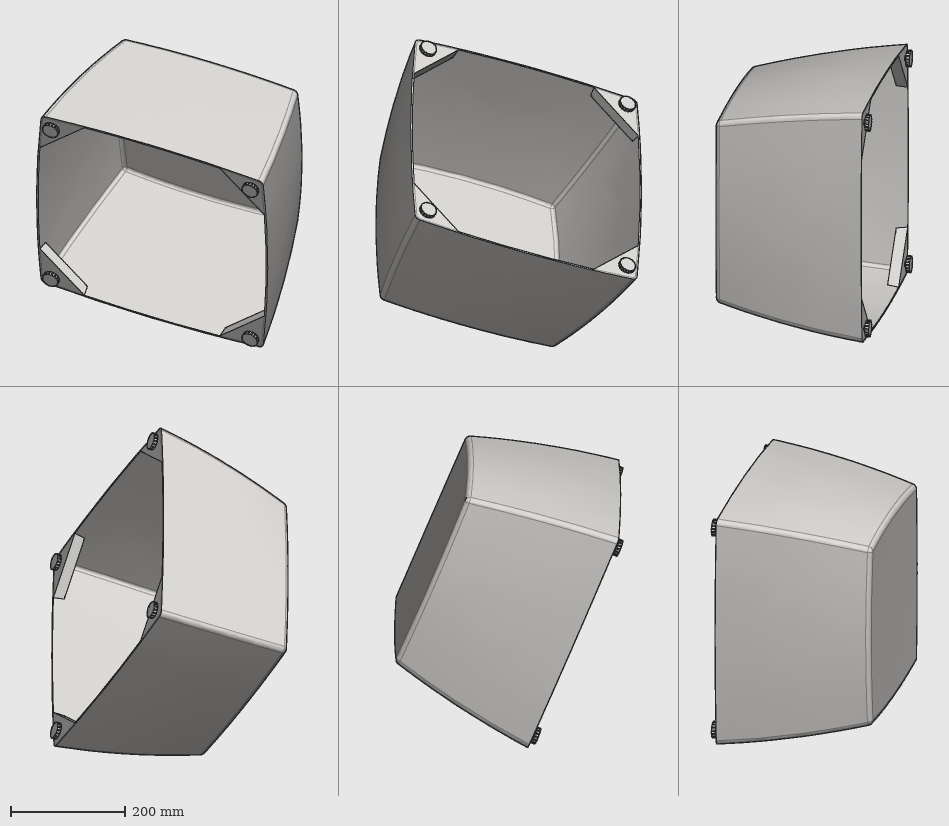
import cadquery as cq
import math

HALF_WIDTH_FRONT = 219.0
HALF_WIDTH_BACK = 174.0
DEPTH = 269.8
PROFILE_BULGE = 5.0
OUTLINE_BULGE = 9.0
BACK_DISH = 2.0
WALL = 3.0
OUTER_ROUND = 10.0
INNER_ROUND = OUTER_ROUND - WALL
SECTION_COUNT = 5

GUSSET_REACH = 340.7
GUSSET_THICKNESS = 20.0

KNOB_OFFSET = 188.8
KNOB_RADIUS = 15.0
KNOB_THICKNESS = 7.0
STEM_RADIUS = 5.05
STEM_LENGTH = 3.5
GROOVE_COUNT = 16
GROOVE_RADIUS = 2.5
GROOVE_DEPTH = 1.0

FRONT_Y = STEM_LENGTH + KNOB_THICKNESS - (DEPTH + STEM_LENGTH + KNOB_THICKNESS) / 2
BACK_Y = FRONT_Y + DEPTH
BACK_CORNER_REACH = math.sqrt(2) * (HALF_WIDTH_BACK - OUTLINE_BULGE)
DISH_RADIUS = (BACK_CORNER_REACH**2 + BACK_DISH**2) / (2 * BACK_DISH)
CORNER_SIGNS = [(sx, sz) for sx in (-1, 1) for sz in (-1, 1)]


def outline(half_width, depth):
    """Closed wire of four outward-bowed arcs, lying at the given depth behind the front."""
    corner = half_width - OUTLINE_BULGE
    return (
        cq.Workplane("XZ", origin=(0, FRONT_Y + depth, 0))
        .moveTo(-corner, -corner)
        .threePointArc((0, -half_width), (corner, -corner))
        .threePointArc((half_width, 0), (corner, corner))
        .threePointArc((0, half_width), (-corner, corner))
        .threePointArc((-half_width, 0), (-corner, -corner))
        .close()
        .val()
    )


def bowed_block(inset, rounding):
    """Solid inside the wall and back surfaces moved in by `inset`, its side and back edges rounded."""
    sections = []
    for i in range(SECTION_COUNT):
        t = i / (SECTION_COUNT - 1)
        chord = HALF_WIDTH_FRONT + (HALF_WIDTH_BACK - HALF_WIDTH_FRONT) * t
        bow = 4 * PROFILE_BULGE * t * (1 - t)
        sections.append(outline(chord + bow - inset, DEPTH * t))
    block = cq.Workplane(cq.Solid.makeLoft(sections, False))
    dish_center_y = BACK_Y - BACK_DISH + DISH_RADIUS
    dish = cq.Workplane("XY").sphere(DISH_RADIUS + inset).translate((0, dish_center_y, 0))
    return block.cut(dish).edges("not <Y").fillet(rounding)


def make_gusset(sx, sz, cavity):
    """Triangular corner plate, trimmed to the cavity it fills."""
    side = HALF_WIDTH_FRONT
    inner = GUSSET_REACH - side
    plate = (
        cq.Workplane("XZ", origin=(0, FRONT_Y, 0))
        .polyline([(sx * inner, sz * side), (sx * side, sz * side), (sx * side, sz * inner)])
        .close()
        .extrude(-GUSSET_THICKNESS)
    )
    return plate.intersect(cavity)


def make_housing():
    outer = bowed_block(0, OUTER_ROUND)
    cavity = bowed_block(WALL, INNER_ROUND)
    housing = outer.cut(cavity)
    for sx, sz in CORNER_SIGNS:
        housing = housing.union(make_gusset(sx, sz, cavity), clean=False)
    return housing.solids()


def make_knob(sx, sz):
    """Grooved disc on a short stem that meets the gusset face."""
    face = cq.Workplane("XZ", origin=(sx * KNOB_OFFSET, FRONT_Y, sz * KNOB_OFFSET))
    stem = face.circle(STEM_RADIUS).extrude(STEM_LENGTH)
    disc = face.workplane(offset=STEM_LENGTH).circle(KNOB_RADIUS).extrude(KNOB_THICKNESS)
    grooves = (
        face.workplane(offset=STEM_LENGTH)
        .polarArray(KNOB_RADIUS - GROOVE_DEPTH + GROOVE_RADIUS, 0, 360, GROOVE_COUNT)
        .circle(GROOVE_RADIUS)
        .extrude(KNOB_THICKNESS)
    )
    return disc.cut(grooves).union(stem).solids()


housing = make_housing()
knobs = [make_knob(sx, sz) for sx, sz in CORNER_SIGNS]
result = cq.Compound.makeCompound([housing.val(), *[knob.val() for knob in knobs]])